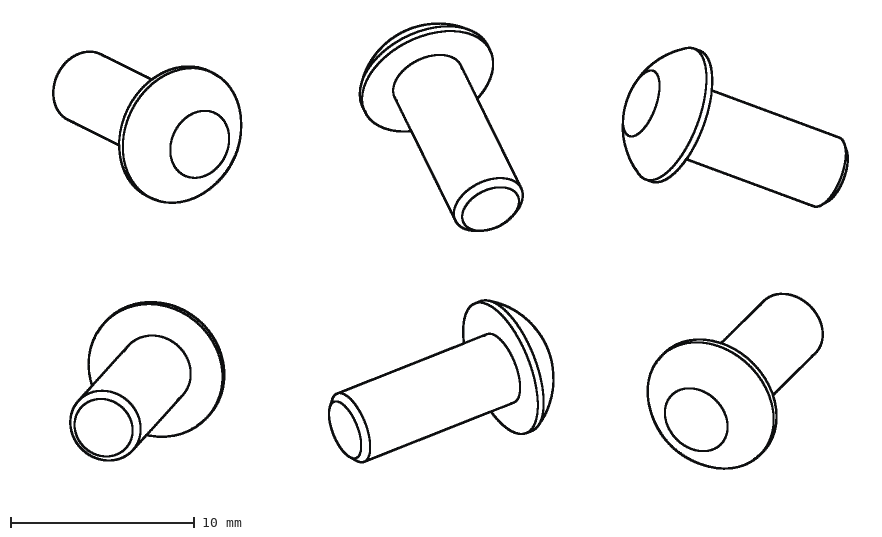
import cadquery as cq

total_length = 12.2
head_height = 2.2
head_diameter = 7.6
rim_width = 0.38
crown_diameter = 3.78
dome_bulge = 0.21
shank_diameter = 4.0
tip_chamfer = 0.35

head_start = total_length - head_height
dome_start = head_start + rim_width

shank = (
    cq.Workplane("YZ")
    .circle(shank_diameter / 2)
    .extrude(head_start)
    .faces("<X")
    .chamfer(tip_chamfer)
)

head = (
    cq.Workplane("XY")
    .moveTo(head_start, 0)
    .lineTo(head_start, head_diameter / 2)
    .lineTo(dome_start, head_diameter / 2)
    .sagittaArc((total_length, crown_diameter / 2), dome_bulge)
    .lineTo(total_length, 0)
    .close()
    .revolve(360, (0, 0, 0), (1, 0, 0))
)

result = shank.union(head)